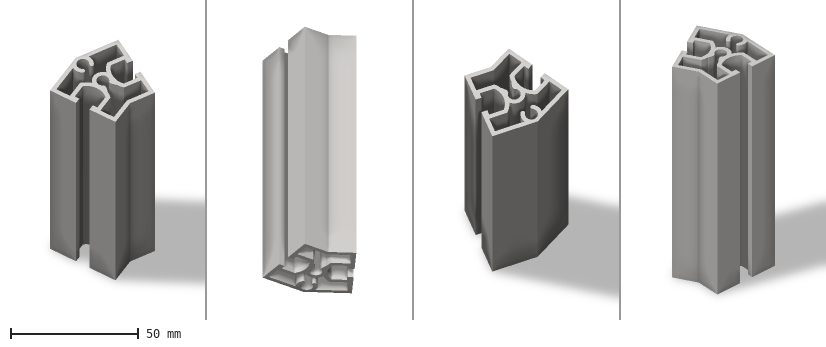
import cadquery as cq
import math

length = 100.0
arm_width = 30.0
inner_side = 11.0
bend_half_angle = 15.0
wall = 1.8

slot_opening = 6.2
slot_width = 10.4
lip_depth = 2.5
crown_height = 10.5
crown_radius = 8.0

bore_radius = 2.5
channel_radius = bore_radius + wall
port_x = 4.0
port_mouth_half_angle = 44.0
mouth_half_gap = 1.3
lip_reach = 3.2
flare_reach = 5.2
flare_half_gap = 2.3

overlap = 1.0

slope = math.tan(math.radians(bend_half_angle))
outer_side = inner_side + arm_width * slope
slot_x = arm_width / 2
crown_center_y = crown_height - crown_radius
bend_normal = (math.sin(math.radians(bend_half_angle)), math.cos(math.radians(bend_half_angle)), 0)


def bend_y(x):
    """Height of the bend plane at a given x."""
    return outer_side - x * slope


def prism(points):
    return cq.Workplane("XY").polyline(points).close().extrude(length)


def disc(x, y, radius):
    return cq.Workplane("XY").center(x, y).circle(radius).extrude(length)


def below_bend(left, right, bottom):
    """Four-sided prism whose sloping top lies in the bend plane."""
    return prism([(left, bottom), (right, bottom), (right, bend_y(right)), (left, bend_y(left))])


def arch(width, radius, bottom):
    """Straight-sided prism with a round crown about the slot's crown centre."""
    half = width / 2
    spring_y = crown_center_y + math.sqrt(radius**2 - half**2)
    return (
        cq.Workplane("XY")
        .moveTo(slot_x - half, bottom)
        .lineTo(slot_x + half, bottom)
        .lineTo(slot_x + half, spring_y)
        .threePointArc((slot_x, crown_center_y + radius), (slot_x - half, spring_y))
        .close()
        .extrude(length)
    )


def bend_axis_prism(x, points):
    """Prism from points measured along and across the bend plane, about its point at x."""
    center = (x, bend_y(x), 0)
    return prism(points).rotate((0, 0, 0), (0, 0, 1), -bend_half_angle).translate(center)


def center_channel():
    """Channel with flat lips that flare out into the slot housings."""
    body = disc(slot_x, bend_y(slot_x), channel_radius)
    lip_block = bend_axis_prism(
        slot_x,
        [(0, 0), (0, -channel_radius), (flare_reach, -channel_radius), (flare_reach, 0)],
    )
    mouth = bend_axis_prism(
        slot_x,
        [
            (0, 0),
            (0, -mouth_half_gap),
            (lip_reach, -mouth_half_gap),
            (flare_reach, -flare_half_gap),
            (flare_reach, 0),
        ],
    )
    return body.union(lip_block).cut(mouth)


def side_channel():
    """Open C-shaped channel on the bent side wall, with rounded tips."""
    tip_radius = wall / 2
    tip_distance = bore_radius + tip_radius
    tip_angle = math.radians(port_mouth_half_angle + bend_half_angle)
    tip_x = port_x + tip_distance * math.cos(tip_angle)
    tip_y = bend_y(port_x) - tip_distance * math.sin(tip_angle)
    reach = 2 * channel_radius
    drop = reach * math.tan(math.radians(port_mouth_half_angle))
    mouth = bend_axis_prism(port_x, [(0, 0), (reach, -drop), (reach, overlap), (0, overlap)])
    body = disc(port_x, bend_y(port_x), channel_radius).cut(mouth)
    return body.union(disc(tip_x, tip_y, tip_radius))


def arm():
    """The arm below the bend plane."""
    envelope = below_bend(0, arm_width, 0)
    cavity = below_bend(wall, arm_width - wall, wall)
    housing = arch(slot_width + 2 * wall, crown_radius + wall, 0)
    opening = cq.Workplane("XY").center(slot_x, 0).rect(slot_opening, 2 * (lip_depth + overlap)).extrude(length)

    body = envelope.cut(cavity).union(center_channel()).union(side_channel()).union(housing)
    body = body.cut(arch(slot_width, crown_radius, lip_depth)).cut(opening)
    for x in (slot_x, port_x):
        body = body.cut(disc(x, bend_y(x), bore_radius))
    return body.intersect(envelope)


lower_arm = arm()
upper_arm = lower_arm.mirror(cq.Vector(*bend_normal), (0, outer_side, 0))
result = lower_arm.union(upper_arm).clean()